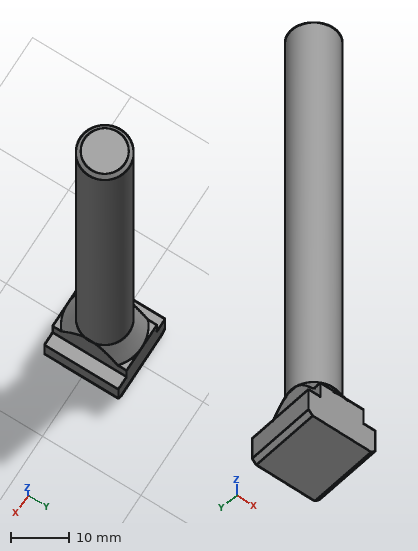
import cadquery as cq

total_height = 106
head_side = 15.0
head_height = 6.0
head_chamfer = 1.0
neck_width = 9.8
neck_top = 9.5
shank_diameter = 10.0
shank_start = 14.0
tip_chamfer = 0.8


def make_head():
    """Square head with its two lower edges along Y chamfered."""
    block = cq.Workplane("XY").box(head_side, head_side, head_height, centered=(True, True, False))
    return block.faces("<Z").edges("|Y").chamfer(head_chamfer)


def make_neck():
    """Slot guide: a flat-sided block topped by a cone trimmed to the same width."""
    block = (
        cq.Workplane("XY")
        .workplane(offset=head_height)
        .rect(neck_width, head_side)
        .extrude(neck_top - head_height)
    )
    cone = (
        cq.Workplane("XY")
        .workplane(offset=neck_top)
        .circle(head_side / 2)
        .workplane(offset=shank_start - neck_top)
        .circle(shank_diameter / 2)
        .loft()
    )
    width_limit = cq.Workplane("XY").box(
        neck_width, head_side, shank_start, centered=(True, True, False)
    )
    return block.union(cone.intersect(width_limit))


def make_shank():
    """Round shank with a chamfered tip."""
    return (
        cq.Workplane("XY")
        .workplane(offset=shank_start)
        .circle(shank_diameter / 2)
        .extrude(total_height - shank_start)
        .faces(">Z")
        .chamfer(tip_chamfer)
    )


result = make_head().union(make_neck()).union(make_shank())